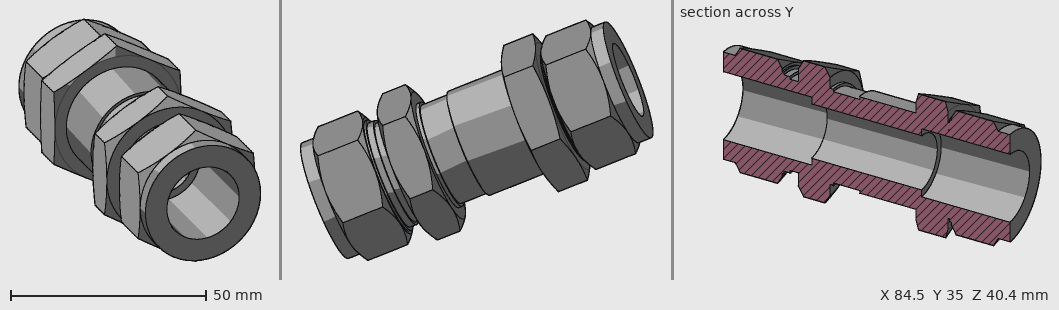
import cadquery as cq
import math

total_length = 84.5
left_end = -total_length / 2

nut_across_flats = 31.9
collar_length = 3.5
nut_length = 13.95
nut_chamfer_angle = 30.0

body_hex_across_flats = 35.0
body_hex_start = 18.25
body_hex_length = 9.55
body_hex_chamfer_angle = 15.0

jam_nut_start = 53.0
jam_nut_length = 9.5
jam_nut_chamfer_angle = 30.0

neck_diameter = 30.4
neck_length = 0.5
shoulder_diameter = 28.7
right_shoulder_length = 1.8
sleeve_end = 44.4
thread_diameter = 27.2
washer_start = 52.05

bore_diameter = 16.0
socket_diameter = 20.0
socket_depth = 26.0


def cylinder(start, end, diameter):
    """Solid cylinder along X between two stations."""
    plane = cq.Workplane("YZ", origin=(left_end + start, 0, 0))
    return plane.circle(diameter / 2).extrude(end - start)


def hexagon(start, length, across_flats, chamfer_angle):
    """Hexagonal prism with corners at +Z and -Z, chamfered conically at both ends."""
    flat_radius = across_flats / 2
    corner_radius = flat_radius / math.cos(math.pi / 6)
    chamfer_length = (corner_radius - flat_radius) * math.tan(math.radians(chamfer_angle))
    first = left_end + start
    last = first + length

    prism = (
        cq.Workplane("YZ", origin=(first, 0, 0))
        .polygon(6, 2 * corner_radius)
        .extrude(length)
        .rotate((0, 0, 0), (1, 0, 0), 90)
    )
    chamfer_envelope = (
        cq.Workplane("XY")
        .moveTo(first, 0)
        .lineTo(first, flat_radius)
        .lineTo(first + chamfer_length, corner_radius)
        .lineTo(last - chamfer_length, corner_radius)
        .lineTo(last, flat_radius)
        .lineTo(last, 0)
        .close()
        .revolve(360, (0, 0, 0), (1, 0, 0))
    )
    return prism.intersect(chamfer_envelope)


left_nut_end = collar_length + nut_length
right_nut_start = total_length - left_nut_end
left_collar = cylinder(0, collar_length, nut_across_flats)
left_nut = hexagon(collar_length, nut_length, nut_across_flats, nut_chamfer_angle)
right_nut = hexagon(right_nut_start, nut_length, nut_across_flats, nut_chamfer_angle)
right_collar = cylinder(total_length - collar_length, total_length, nut_across_flats)

body_hex = hexagon(body_hex_start, body_hex_length, body_hex_across_flats, body_hex_chamfer_angle)
jam_nut = hexagon(jam_nut_start, jam_nut_length, body_hex_across_flats, jam_nut_chamfer_angle)

right_neck_start = right_nut_start - neck_length
right_shoulder_start = right_neck_start - right_shoulder_length
left_neck_end = left_nut_end + neck_length
left_neck = cylinder(left_nut_end, left_neck_end, neck_diameter)
left_shoulder = cylinder(left_neck_end, body_hex_start, shoulder_diameter)
sleeve = cylinder(body_hex_start, sleeve_end, shoulder_diameter)
thread = cylinder(sleeve_end, right_shoulder_start, thread_diameter)
washer = cylinder(washer_start, jam_nut_start, shoulder_diameter)
right_shoulder = cylinder(right_shoulder_start, right_neck_start, shoulder_diameter)
right_neck = cylinder(right_neck_start, right_nut_start, neck_diameter)

result = left_collar
for section in (
    left_nut,
    left_neck,
    left_shoulder,
    body_hex,
    sleeve,
    thread,
    washer,
    jam_nut,
    right_shoulder,
    right_neck,
    right_nut,
    right_collar,
):
    result = result.union(section)

result = result.cut(cylinder(0, total_length, bore_diameter))
result = result.cut(cylinder(0, socket_depth, socket_diameter))
result = result.cut(cylinder(total_length - socket_depth, total_length, socket_diameter))